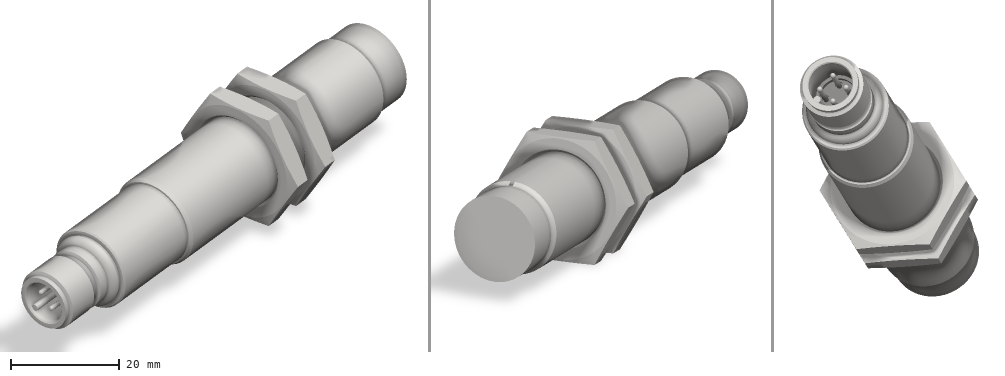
import cadquery as cq
import math

LENGTH = 97.65

BARREL_DIAMETER = 18.0
BARREL_START = 32.5
BARREL_END = 89.8
BARREL_FRONT_TAPER = 0.8
TAPER_END = 90.8
TAPER_NOTCH_WIDTH = 0.9
CAP_DIAMETER = 16.6
SLEEVE_DIAMETER = 16.4
SLEEVE_START = 13.9
SLEEVE_CHAMFER = 0.3

PLUG_DIAMETER = 12.0
PLUG_CORE_DIAMETER = 10.5
THREAD_START = 1.0
SHOULDER_TAPER = 0.3
THREAD_END = 8.1
THREAD_CHAMFER = 0.6
COLLAR_START = 9.2
COLLAR_END = 11.6
BEAD_DIAMETER = 14.5
NECK_DIAMETER = 14.2
BEAD_END = 13.3

SOCKET_DIAMETER = 8.3
SOCKET_DEPTH = 7.1
SOCKET_CHAMFER = 0.2
FLOOR_DIAMETER = 7.0
FLOOR_DEPTH = 8.1
PIN_DIAMETER = 1.0
PIN_WELL_DIAMETER = 1.5
PIN_WELL_DEPTH = 0.5
PIN_CIRCLE_DIAMETER = 5.0
PIN_COUNT = 4
PIN_RECESS = 2.0
KEY_DIAMETER = 1.4
KEY_CENTRE_RADIUS = 3.7
KEY_RECESS = 0.7
KEY_ANGLE = 225.0

NUT_SIDES = 6
NUT_ACROSS_FLATS = 24.0
NUT_THICKNESS = 4.0
NUT_STARTS = (57.7, 65.8)
NUT_FACE_DIAMETER = 23.4
NUT_CHAMFER_ANGLE = 15.0
NUT_COUNTERSINK_DIAMETER = 19.1


def cylinder(diameter, start, end, x=0.0, z=0.0):
    """Solid cylinder along Y from start to end."""
    base = cq.Workplane("XZ", origin=(x, start, z))
    return base.circle(diameter / 2).extrude(start - end)


def sensor_blank():
    """Revolved shape of the sensor, with the stepped and chamfered connector socket."""
    barrel = BARREL_DIAMETER / 2
    cap = CAP_DIAMETER / 2
    sleeve = SLEEVE_DIAMETER / 2
    plug = PLUG_DIAMETER / 2
    core = PLUG_CORE_DIAMETER / 2
    socket = SOCKET_DIAMETER / 2
    floor = FLOOR_DIAMETER / 2
    neck = NECK_DIAMETER / 2
    bead = BEAD_DIAMETER / 2
    rise = bead - plug
    run = BEAD_END - COLLAR_END
    bead_radius = (rise**2 + run**2) / (2 * rise)
    half_sweep = math.asin(run / bead_radius) / 2
    bead_middle = (
        bead - bead_radius * (1 - math.cos(half_sweep)),
        BEAD_END - bead_radius * math.sin(half_sweep),
    )
    outline = (
        cq.Workplane("XY")
        .moveTo(0, FLOOR_DEPTH)
        .lineTo(floor, FLOOR_DEPTH)
        .lineTo(floor, SOCKET_DEPTH)
        .lineTo(socket, SOCKET_DEPTH)
        .lineTo(socket, SOCKET_CHAMFER)
        .lineTo(socket + SOCKET_CHAMFER, 0)
        .lineTo(core, 0)
        .lineTo(core, THREAD_START)
        .lineTo(plug, THREAD_START + SHOULDER_TAPER)
        .lineTo(plug, THREAD_END - THREAD_CHAMFER)
        .lineTo(core, THREAD_END)
        .lineTo(core, COLLAR_START)
        .lineTo(plug, COLLAR_START + SHOULDER_TAPER)
        .lineTo(plug, COLLAR_END)
        .threePointArc(bead_middle, (bead, BEAD_END))
        .lineTo(neck, BEAD_END)
        .lineTo(neck, SLEEVE_START)
        .lineTo(sleeve - SLEEVE_CHAMFER, SLEEVE_START)
        .lineTo(sleeve, SLEEVE_START + SLEEVE_CHAMFER)
        .lineTo(sleeve, BARREL_START)
        .lineTo(barrel - BARREL_FRONT_TAPER / 2, BARREL_START)
        .lineTo(barrel, BARREL_START + BARREL_FRONT_TAPER)
        .lineTo(barrel, BARREL_END)
        .lineTo(cap, TAPER_END)
        .lineTo(cap, LENGTH)
        .lineTo(0, LENGTH)
        .close()
    )
    return outline.revolve(360, (0, 0, 0), (0, 1, 0))


def coding_key():
    """Round key along the socket wall; its outer part is buried in the wall."""
    angle = math.radians(KEY_ANGLE)
    x = KEY_CENTRE_RADIUS * math.cos(angle)
    z = KEY_CENTRE_RADIUS * math.sin(angle)
    return cylinder(KEY_DIAMETER, KEY_RECESS, FLOOR_DEPTH, x, z)


def contact_pin(x, z):
    """Pin with a hemispherical tip, standing on the bottom of its well."""
    radius = PIN_DIAMETER / 2
    shank_start = PIN_RECESS + radius
    tip = cq.Workplane("XY", origin=(x, shank_start, z)).sphere(radius)
    shank = cylinder(PIN_DIAMETER, shank_start, FLOOR_DEPTH + PIN_WELL_DEPTH, x, z)
    return shank.union(tip)


def pin_well(x, z):
    """Shallow round well in the socket floor around a pin."""
    return cylinder(PIN_WELL_DIAMETER, FLOOR_DEPTH, FLOOR_DEPTH + PIN_WELL_DEPTH, x, z)


def taper_notch():
    """Notch across the rear taper at the top, down to the cap diameter."""
    length = TAPER_END - BARREL_END
    block = cq.Workplane("XY", origin=(0, BARREL_END + length / 2, 0)).box(
        TAPER_NOTCH_WIDTH, length, BARREL_DIAMETER / 2, centered=(True, True, False)
    )
    return block.cut(cylinder(CAP_DIAMETER, BARREL_END, TAPER_END))


def make_sensor():
    """Barrel, connector and contact pins as one solid."""
    sensor = sensor_blank().cut(taper_notch()).union(coding_key())
    for i in range(PIN_COUNT):
        angle = math.radians(i * 360 / PIN_COUNT)
        x = PIN_CIRCLE_DIAMETER / 2 * math.cos(angle)
        z = PIN_CIRCLE_DIAMETER / 2 * math.sin(angle)
        sensor = sensor.cut(pin_well(x, z)).union(contact_pin(x, z))
    return sensor


def make_nut(start):
    """Hexagonal nut on the barrel, chamfered at its corners and at both bore mouths."""
    corner_diameter = NUT_ACROSS_FLATS / math.cos(math.pi / NUT_SIDES)
    nut = (
        cq.Workplane("XZ", origin=(0, start, 0))
        .polygon(NUT_SIDES, corner_diameter)
        .extrude(-NUT_THICKNESS)
    )
    face = NUT_FACE_DIAMETER / 2
    corner = corner_diameter / 2
    drop = (corner - face) * math.tan(math.radians(NUT_CHAMFER_ANGLE))
    end = start + NUT_THICKNESS
    envelope = (
        cq.Workplane("XY")
        .moveTo(0, start)
        .lineTo(face, start)
        .lineTo(corner, start + drop)
        .lineTo(corner, end - drop)
        .lineTo(face, end)
        .lineTo(0, end)
        .close()
        .revolve(360, (0, 0, 0), (0, 1, 0))
    )
    nut = nut.intersect(envelope).cut(cylinder(BARREL_DIAMETER, start, end))
    rim_chamfer = (NUT_COUNTERSINK_DIAMETER - BARREL_DIAMETER) / 2
    return nut.edges(cq.selectors.RadiusNthSelector(0)).chamfer(rim_chamfer)


sensor = make_sensor()
nuts = [make_nut(start) for start in NUT_STARTS]
result = cq.Compound.makeCompound([sensor.val(), *[nut.val() for nut in nuts]])